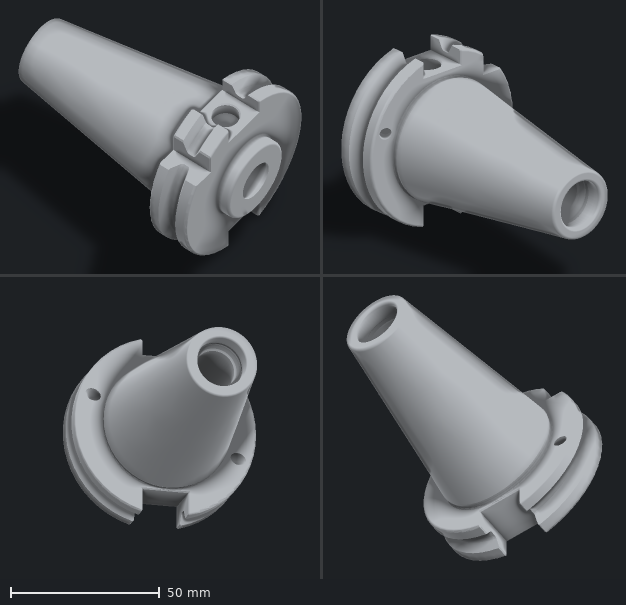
import cadquery as cq
import math

total_length = 92.4

taper_slope = 7 / 48
taper_length = 68.9
taper_large_radius = 22.4
taper_small_radius = taper_large_radius - taper_slope * taper_length
taper_tip_fillet = 1.0

relief_radius = 22.0
relief_slope_length = 1.2
relief_fillet = 0.5

flange_start = 71.4
flange_end = 87.4
flange_radius = 31.8
flange_fillet = 0.9
flange_width = flange_end - flange_start
flange_middle = (flange_start + flange_end) / 2

groove_middle = 79.3
groove_floor_radius = 28.1
groove_mouth_width = 7.2
groove_wall_angle = 30
groove_fillet = 1.1

boss_radius = 14.8
boss_edge_fillet = 1.1
boss_root_fillet = 0.8

bore_radius = 7.0
bore_chamfer = 0.65
counterbore_radius = 8.5
counterbore_depth = 7.95
counterbore_cone_length = 1.7
undercut_start = 6.0
undercut_depth = 0.3
counterbore_mouth_fillet = 0.9

key_slot_width = 16.1
upper_slot_floor = 24.95
lower_slot_floor = 22.7
notch_offset = 18.5
slot_chamfer = 0.5

pocket_radius = 4.8
pocket_depth = 4.6
pocket_chamfer = 0.5
pilot_radius = 1.85
pilot_tip_height = 1.1

coolant_hole_radius = 2.0
coolant_hole_length = 9.2
coolant_hole_circle_radius = 27.0
coolant_hole_angle = 20
coolant_hole_tilt = 42

beyond = 4.6


def turned(outline):
    """Revolve a closed outline drawn in (X, radius) about the spindle axis."""
    return outline.close().revolve(360, (0, 0, 0), (1, 0, 0))


def make_shank():
    """Taper, relief neck and rear boss, fully solid."""
    relief_start = taper_length + relief_slope_length
    outline = (
        cq.Workplane("XY")
        .lineTo(0, taper_small_radius)
        .lineTo(taper_length, taper_large_radius)
        .lineTo(relief_start, relief_radius)
        .lineTo(flange_middle, relief_radius)
        .lineTo(flange_middle, boss_radius)
        .lineTo(total_length, boss_radius)
        .lineTo(total_length, 0)
    )
    shank = turned(outline)
    shank = shank.faces("<X").edges().fillet(taper_tip_fillet)
    return shank.faces(">X").edges().fillet(boss_edge_fillet)


def cut_and_chamfer(body, cutter):
    """Cut a slot and chamfer the outer edges the cut leaves on the flange."""
    body = body.cut(cutter)
    walls = cutter.val()
    rim = []
    for edge in body.edges().vals():
        middle = edge.positionAt(0.5)
        on_cutter = walls.distance(cq.Vertex.makeVertex(*middle.toTuple())) < 0.0001
        inner_corner = (
            edge.geomType() == "LINE"
            and abs(edge.tangentAt(0.5).x) > 0.99
            and math.hypot(middle.y, middle.z) < flange_radius - 0.01
        )
        if on_cutter and not inner_corner:
            rim.append(edge)
    return body.newObject(rim).chamfer(slot_chamfer)


def slot_cutter(y_min, y_max, z_min, z_max):
    """Box spanning the whole flange width."""
    size = (flange_width + 2 * beyond, y_max - y_min, z_max - z_min)
    centre = (flange_middle, (y_min + y_max) / 2, (z_min + z_max) / 2)
    return cq.Workplane("XY").box(*size).translate(centre)


def make_groove():
    """Ring that cuts the V groove with a flat floor into the flange rim."""
    depth = flange_radius - groove_floor_radius
    slope = math.tan(math.radians(groove_wall_angle))
    mouth = groove_mouth_width / 2
    floor = mouth - depth * slope
    top = mouth + beyond * slope
    outline = cq.Workplane("XY").polyline([
        (groove_middle - floor, groove_floor_radius),
        (groove_middle + floor, groove_floor_radius),
        (groove_middle + top, flange_radius + beyond),
        (groove_middle - top, flange_radius + beyond),
    ])
    ring = turned(outline)
    floor_edges = cq.selectors.RadiusNthSelector(0)
    return ring.edges(floor_edges).fillet(groove_fillet)


def make_flange():
    """Flange disc with both key slots, the corner notch and the V groove."""
    disc = cq.Workplane("YZ", (flange_start, 0, 0)).circle(flange_radius).extrude(flange_width)
    disc = disc.edges().fillet(flange_fillet)

    half = key_slot_width / 2
    outside = flange_radius + beyond
    disc = cut_and_chamfer(disc, slot_cutter(-half, half, upper_slot_floor, outside))
    disc = cut_and_chamfer(disc, slot_cutter(-half, half, -outside, -lower_slot_floor))
    disc = cut_and_chamfer(disc, slot_cutter(-outside, -notch_offset, notch_offset, outside))
    return disc.cut(make_groove())


def make_bore():
    """Through bore with a rounded, undercut counterbore that narrows in two cones."""
    mouth_radius = counterbore_radius + counterbore_mouth_fillet
    arc_inset = counterbore_mouth_fillet * (1 - math.sqrt(0.5))
    undercut_radius = counterbore_radius + undercut_depth
    cone_end = counterbore_depth + counterbore_cone_length
    outline = (
        cq.Workplane("XY")
        .lineTo(0, mouth_radius)
        .threePointArc(
            (arc_inset, counterbore_radius + arc_inset),
            (counterbore_mouth_fillet, counterbore_radius),
        )
        .lineTo(undercut_start, counterbore_radius)
        .lineTo(undercut_start + undercut_depth, undercut_radius)
        .lineTo(counterbore_depth - undercut_depth, undercut_radius)
        .lineTo(counterbore_depth, counterbore_radius)
        .lineTo(cone_end, bore_radius + bore_chamfer)
        .lineTo(cone_end + bore_chamfer, bore_radius)
        .lineTo(total_length, bore_radius)
        .lineTo(total_length, 0)
    )
    return turned(outline)


def make_pocket():
    """Round pocket in the upper slot floor with a conical pilot at its centre."""
    floor = upper_slot_floor - pocket_depth
    outline = (
        cq.Workplane("XZ")
        .moveTo(0, floor - pilot_tip_height)
        .lineTo(pilot_radius, floor)
        .lineTo(pocket_radius, floor)
        .lineTo(pocket_radius, upper_slot_floor - pocket_chamfer)
        .lineTo(pocket_radius + pocket_chamfer, upper_slot_floor)
        .lineTo(0, upper_slot_floor)
        .close()
    )
    return outline.revolve(360, (0, 0, 0), (0, 1, 0)).translate((flange_middle, 0, 0))


def make_coolant_hole(angle):
    """Slanted hole in the taper side of the flange, running inward with depth."""
    tilt = math.radians(coolant_hole_tilt)
    turn = math.radians(angle)
    outward = cq.Vector(0, math.cos(turn), math.sin(turn))
    entry = cq.Vector(flange_start, 0, 0) + outward * coolant_hole_circle_radius
    inward_axis = cq.Vector(math.cos(tilt), 0, 0) - outward * math.sin(tilt)
    return cq.Workplane(cq.Solid.makeCylinder(
        coolant_hole_radius,
        coolant_hole_length + beyond,
        entry - inward_axis * beyond,
        inward_axis,
    ))


def make_root_fillet(x, radius, fillet, direction):
    """Concave ring joining a cylinder to a flange face at x."""
    centre_x = x + direction * fillet
    arc_inset = fillet * (1 - math.sqrt(0.5))
    outline = (
        cq.Workplane("XY")
        .moveTo(x - direction * fillet, radius - fillet)
        .lineTo(x - direction * fillet, radius + fillet)
        .lineTo(x, radius + fillet)
        .threePointArc((x + direction * arc_inset, radius + arc_inset), (centre_x, radius))
        .lineTo(centre_x, radius - fillet)
    )
    return turned(outline)


result = make_shank().union(make_flange())
result = result.union(make_root_fillet(flange_start, relief_radius, relief_fillet, -1))
result = result.union(make_root_fillet(flange_end, boss_radius, boss_root_fillet, 1))
result = result.cut(make_bore()).cut(make_pocket())
for hole_angle in (coolant_hole_angle, coolant_hole_angle + 180):
    result = result.cut(make_coolant_hole(hole_angle))